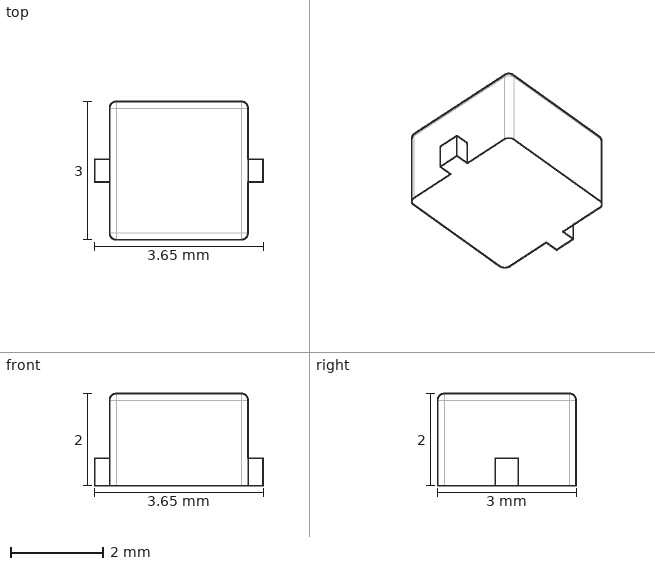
import cadquery as cq

body_side = 3.0
body_height = 2.0
edge_radius = 0.15

terminal_span = 3.65
terminal_width = 0.5
terminal_height = 0.6

on_base = (True, True, False)

body = (
    cq.Workplane("XY")
    .box(body_side, body_side, body_height, centered=on_base)
    .edges("|Z or >Z")
    .fillet(edge_radius)
)

terminals = cq.Workplane("XY").box(
    terminal_span, terminal_width, terminal_height, centered=on_base
)

result = body.union(terminals)